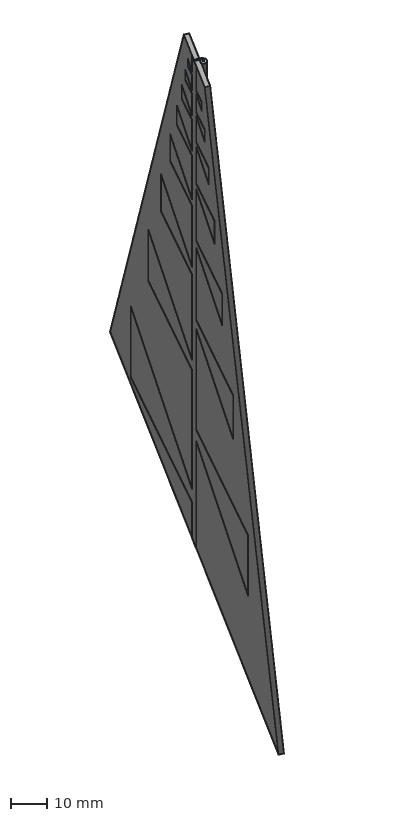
import cadquery as cq


total_height = 205.3
total_depth = 4.0

wire_diameter = 0.5
wire_bend_radius = 0.6
wire_overhang = 0.2
wire_exposed_height = 1.33

board_bottom_width = 160.0
board_top_width = 20.0
board_thickness = 1.6
board_height = total_height - wire_diameter

copper_thickness = 0.05
boom_width = 4.1
element_count = 15
taper_ratio = 0.85
longest_element = 60.2
longest_element_z = 18.0
apex_z = 217.8
tip_height_ratio = 0.5
root_height_ratio = 0.08

cable_diameter = total_depth - board_thickness - copper_thickness - wire_overhang
cable_y = board_thickness + cable_diameter / 2
cable_length = total_height - wire_exposed_height


def make_board():
    half_bottom = board_bottom_width / 2
    half_top = board_top_width / 2
    outline = [
        (-half_bottom, 0),
        (half_bottom, 0),
        (half_top, board_height),
        (-half_top, board_height),
    ]
    return cq.Workplane("XZ").polyline(outline).close().extrude(-board_thickness)


def make_element(index):
    """One wedge, widening from the boom's centre line to its tip."""
    scale = taper_ratio**index
    length = longest_element * scale
    middle_z = apex_z - (apex_z - longest_element_z) * scale
    side = -1 if index % 2 == 0 else 1
    half_root = root_height_ratio * length / 2
    half_tip = tip_height_ratio * length / 2
    outline = [
        (0, middle_z - half_root),
        (side * length, middle_z - half_tip),
        (side * length, middle_z + half_tip),
        (0, middle_z + half_root),
    ]
    return cq.Workplane("XZ").polyline(outline).close().extrude(copper_thickness)


def make_trace():
    boom = cq.Workplane("XZ").center(0, board_height / 2).rect(boom_width, board_height)
    trace = boom.extrude(copper_thickness)
    for index in range(element_count):
        trace = trace.union(make_element(index))
    return trace.solids()


def make_cable():
    return cq.Workplane("XY").center(0, cable_y).circle(cable_diameter / 2).extrude(cable_length)


def make_wire():
    """Wire rising from the cable's end, then bending forward over the board's top edge."""
    run_z = total_height - wire_diameter / 2
    front_y = -copper_thickness - wire_overhang
    path = (
        cq.Workplane("YZ")
        .moveTo(cable_y, cable_length)
        .lineTo(cable_y, run_z - wire_bend_radius)
        .radiusArc((cable_y - wire_bend_radius, run_z), -wire_bend_radius)
        .lineTo(front_y, run_z)
    )
    start = cq.Workplane("XY", origin=(0, cable_y, cable_length))
    return start.circle(wire_diameter / 2).sweep(path)


board = make_board()
trace = make_trace()
cable = make_cable()
wire = make_wire()

result = cq.Compound.makeCompound([board.val(), trace.val(), cable.val(), wire.val()])